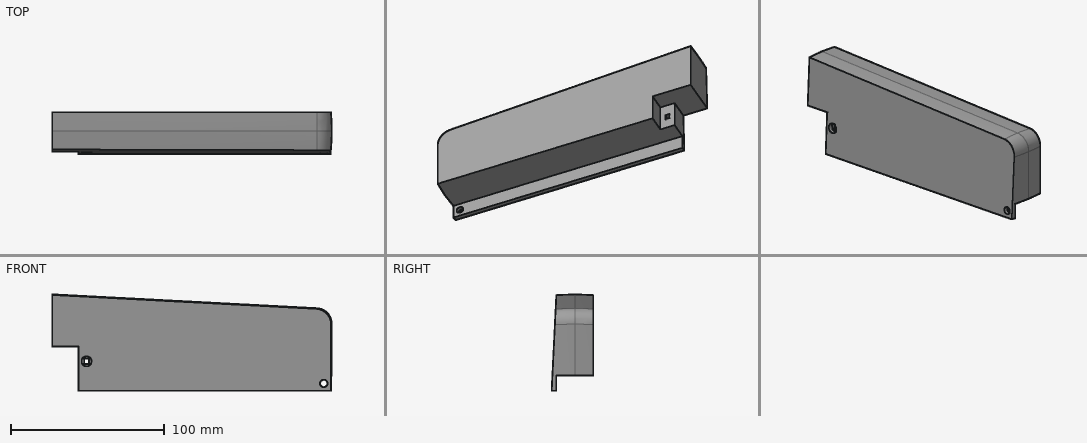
import cadquery as cq
import math

length = 182.1
depth = 27.3
height = 63.0

slope_angle = 3.0
draft_angle = 2.8
corner_radius = 10.4
crown_height = 0.5
rim_thickness = 7.3

flange_height = 10.0
flange_thickness = 3.1

notch_length = 17.1
notch_height = 29.0
pocket_length = 27.3

screw_x = 22.4
screw_z = 19.3
counterbore_diameter = 6.5
counterbore_depth = 3.6
bridge_step = 0.4
screw_slot_height = 3.5
screw_slot_width = 3.0

flange_hole_x = 176.8
flange_hole_z = 5.0
flange_hole_diameter = 4.7

slope = math.tan(math.radians(slope_angle))
front_top_y = height * math.tan(math.radians(draft_angle))
crown_y = (front_top_y + depth) / 2
crown_half_width = depth - crown_y
crown_radius = (crown_half_width**2 + crown_height**2) / (2 * crown_height)
overrun = 3.6


def crown_drop(y):
    """Drop of the crowned surface below its ridge at depth position y."""
    return crown_radius - math.sqrt(crown_radius**2 - (y - crown_y) ** 2)


def ridge_height(x):
    """Height of the sloping ridge before the corner is rounded."""
    return height - slope * x


def crowned_rim():
    """Crowned strip that follows the top, the rounded corner and the +X end."""
    turn = math.radians(90 - slope_angle)
    tangent_length = corner_radius * math.tan(turn / 2)
    corner_z = ridge_height(length)
    arc_start = (
        length - tangent_length * math.cos(math.radians(slope_angle)),
        corner_z + tangent_length * math.sin(math.radians(slope_angle)),
    )
    arc_end = (length, corner_z - tangent_length)
    center_x = length - corner_radius
    center_z = arc_end[1]
    mid_angle = turn / 2
    arc_middle = (
        center_x + corner_radius * math.cos(mid_angle),
        center_z + corner_radius * math.sin(mid_angle),
    )
    start_z = ridge_height(-overrun)
    front_middle = crown_y / 2
    rear_middle = (crown_y + depth) / 2
    path = (
        cq.Workplane("XZ")
        .moveTo(-overrun, start_z)
        .lineTo(*arc_start)
        .threePointArc(arc_middle, arc_end)
        .lineTo(length, -overrun)
    )
    section = (
        cq.Workplane("YZ", origin=(-overrun, 0, start_z))
        .moveTo(0, -rim_thickness)
        .lineTo(0, -crown_drop(0))
        .threePointArc((front_middle, -crown_drop(front_middle)), (crown_y, 0))
        .threePointArc((rear_middle, -crown_drop(rear_middle)), (depth, -crown_drop(depth)))
        .lineTo(depth, -rim_thickness)
        .close()
    )
    return section.sweep(path)


def core():
    """Flat-sided block that fills the space inside the rim."""
    inset = (rim_thickness + crown_drop(0)) / 2
    right = length - inset
    return (
        cq.Workplane("XZ", origin=(0, depth, 0))
        .moveTo(0, 0)
        .lineTo(right, 0)
        .lineTo(right, ridge_height(length) - corner_radius)
        .lineTo(length - corner_radius, ridge_height(length) - inset)
        .lineTo(0, height - inset)
        .close()
        .extrude(depth)
    )


def envelope():
    """Cross-section with the leaning front and the flange, along the full length."""
    top = height + overrun
    return (
        cq.Workplane("YZ")
        .moveTo(0, 0)
        .lineTo(flange_thickness, 0)
        .lineTo(flange_thickness, flange_height)
        .lineTo(depth, flange_height)
        .lineTo(depth, top)
        .lineTo(top * math.tan(math.radians(draft_angle)), top)
        .close()
        .extrude(length)
    )


def end_cutouts():
    """Notch under the -X end and the deeper pocket in its rear half."""
    notch = cq.Workplane("XY").box(notch_length, depth, notch_height, centered=False)
    pocket = (
        cq.Workplane("XY", origin=(0, crown_y, 0))
        .box(pocket_length, depth - crown_y, notch_height, centered=False)
    )
    return notch.union(pocket)


def screw_hole():
    """Round counterbore that narrows to a flat-sided slot, then to a rectangular hole."""
    plane = cq.Workplane("XZ", origin=(screw_x, 0, screw_z))
    counterbore = plane.circle(counterbore_diameter / 2).extrude(-counterbore_depth)
    slot = (
        plane.circle(counterbore_diameter / 2)
        .extrude(-counterbore_depth - bridge_step)
        .intersect(plane.rect(counterbore_diameter, screw_slot_height).extrude(-depth))
    )
    through = plane.rect(screw_slot_width, screw_slot_height).extrude(-depth)
    return counterbore.union(slot).union(through)


def flange_hole():
    """Round hole through the flange near the +X end."""
    return (
        cq.Workplane("XZ", origin=(flange_hole_x, 0, flange_hole_z))
        .circle(flange_hole_diameter / 2)
        .extrude(-depth)
    )


result = (
    core()
    .union(crowned_rim())
    .intersect(envelope())
    .cut(end_cutouts())
    .cut(screw_hole())
    .cut(flange_hole())
)